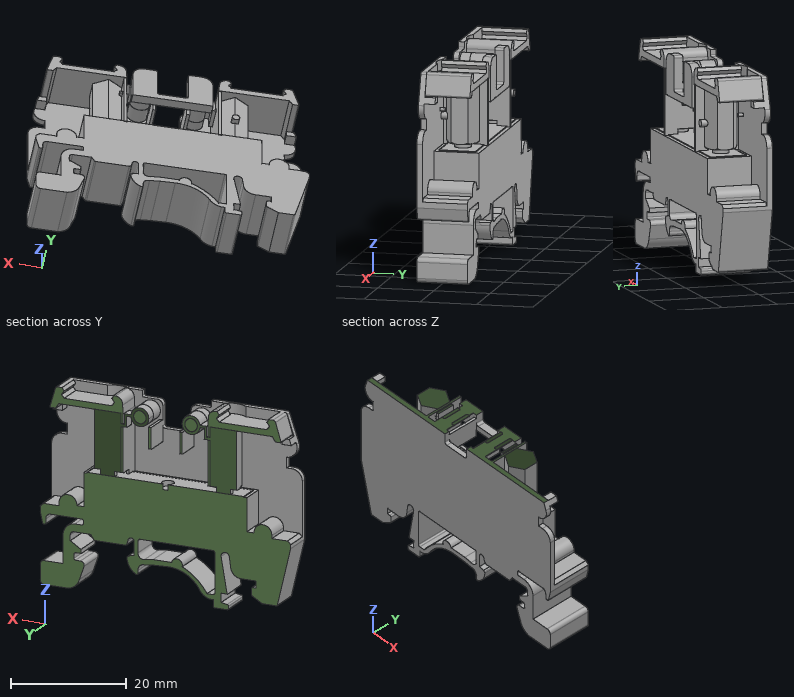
import cadquery as cq
import math

half_length = 24.0
depth = 9.0
height = 36.5
wall = 1.05
mid_y = 5.1

shoulder_fillet = 0.5
shoulder_x = 21.0
ear_radius = 2.0
ear_z = 30.35
notch_top_z = ear_z - ear_radius
notch_bottom_z = 26.4
corner_radius = 2.0
slope_start_z = 13.57
step_x = 6.6
step_z = 35.3
gap_x = 2.7
gap_floor_z = 30.2
gap_fillet = 0.45
gap_shoulder_radius = 1.0
tab_radius = 2.0
tab_x = 5.05
tab_front_y = 7.4
tab_bottom_z = 29.0
tab_corner_radius = 0.4
gap_wall_thickness = 0.55
gap_wall_bottom_z = 27.7
gap_wall_top_z = 31.7

window_left_x = -9.4
window_right_x = 5.2
window_top_z = 10.95
window_radius = 0.3
left_slot_x = -11.43
left_slot_radius = 0.75
right_slot_x = 6.6
right_slot_radius = 0.55
left_slot_z = 10.2
right_slot_z = 10.4
arm_slot_top_z = 13.0
arm_slot_bottom_z = 12.0
arm_slot_end_x = 15.7
arm_top_z = 4.45
arm_fillet = 0.8
arm_outer_x = 19.63
arm_inner_x = 18.17
arm_root_z = 10.45
jaw_x = 17.45
jaw_end_x = 16.15
jaw_top_z = 6.7
jaw_bottom_z = 5.4
hook_inner_x = 22.85
hook_outer_x = 23.5
hook_tip_z = 11.0
bridge_tip = (7.4, 7.4)
belly_left = (7.46, 9.46)
belly_right = (13.7, 9.46)
foot_left_x = -21.4
foot_z = 2.64
foot_tip_x = -16.42
foot_tip_low_z = 3.85
foot_tip_top_z = 5.4
foot_neck_x = -17.3
foot_neck_z = 6.6
leg_tip_x = -12.1
leg_tip_z = 1.55
leg_neck_x = -10.67
leg_bottom_z = 0.55
leg_right_x = -9.1
bridge_start_z = 2.0
window_bottom_z = 3.0
small_fillet = 0.3
clip_corners = (
    (foot_left_x, foot_z),
    (foot_tip_x, foot_tip_low_z),
    (foot_tip_x, foot_tip_top_z),
    (leg_tip_x, leg_tip_z),
    (leg_tip_x, leg_bottom_z),
    (leg_right_x, leg_bottom_z),
    (window_left_x, window_bottom_z),
    bridge_tip,
    belly_left,
    belly_right,
    (jaw_x, jaw_top_z),
    (jaw_x, jaw_bottom_z),
    (arm_slot_end_x, arm_slot_bottom_z),
    (arm_slot_end_x, arm_slot_top_z),
    (hook_inner_x, hook_tip_z),
    (hook_outer_x, hook_tip_z),
)
arm_corners = ((half_length, 0), (half_length, arm_top_z))

floor_z = 21.6
floor_end_x = 15.6
ledge_z = 14.87
ledge_chamfer = 0.6
step_wall_x = 20.4
step_wall_z = 15.4
step_radius = 1.75

hood_bottom_z = 32.5
hood_bottom_x = 22.2
hood_wall = 1.2
hood_bottom_fillet = 0.2
slab_top_z = 34.6
slab_bottom_z = 33.4
outer_lip_tip_x = 19.35
inner_lip_tip_x = 10.3
inner_lip_end_x = 8.05
lip_tip_z = 35.9
lip_bevel = 0.4
lip_undercut = 0.5
lip_draft = 0.1
inner_lip_crown = (-8.5, 36.0)
inner_lip_shoulder_z = 35.0
lip_neck_z = 35.2
stop_x = 22.8
stop_bottom_z = 31.3
stop_top_z = 32.4
stop_end_y = 2.95
scallop_depth = 0.6
scallop_chord = 4.3

partition_end_y = 8.85
partition_gap_y = (3.4, 6.5)
partition_gap_top_z = 22.6
post_x = 4.9
post_z = 33.25
post_diameter = 3.25
post_core_diameter = 2.5
bar_y = (1.75, 8.25)
bar_top_z = 21.75
bar_half_length = 15.0
bar_hole_diameter = 2.2
bar_hole_depth = 1.0
bar_hole_y = 4.6
pin_diameter = 0.6
pin_z = 28.1
pin_end_y = 2.0

hex_x = 11.1
hex_corners = 5.9
hex_flat_radius = hex_corners / 2 * math.cos(math.pi / 6)
hex_bottom_z = 22.6
hex_chamfer = 0.3
shank_diameter = 2.9
strip_y = (2.8, 6.4)
strip_thickness = 0.5
coil_diameter = 3.5
strip_end_x = 7.9
run_top_z = 33.5
strip_low_z = 31.0
stud_diameter = 1.3
stud_z = 27.05


def box(x, y, z):
    """Box between the two ends given for each axis."""
    size = (x[1] - x[0], y[1] - y[0], z[1] - z[0])
    return cq.Workplane("XY").box(*size, centered=False).translate((x[0], y[0], z[0]))


def along_y(profile, y):
    """Extrude an XZ profile between two Y planes."""
    return profile.extrude(-(y[1] - y[0])).translate((0, y[0], 0))


def rod(x, z, diameter, y):
    """Round rod lying along Y."""
    return along_y(cq.Workplane("XZ").center(x, z).circle(diameter / 2), y)


def both_sides(left):
    """The left-hand shape together with its mirror image about X = 0."""
    return left.union(left.mirror("YZ"))


def half_turn(shape):
    """The shape turned half way about the vertical axis at mid depth."""
    return shape.rotate((0, mid_y, 0), (0, mid_y, 1), 180)


def round_edges(body, corners, radius):
    """Fillet the edges along Y that pass through the given (x, z) corners."""
    reach = 0.05
    for x, z in corners:
        zone = cq.selectors.BoxSelector((x - reach, -depth, z - reach), (x + reach, 2 * depth, z + reach))
        body = body.edges("|Y").edges(zone).fillet(radius)
    return body


def draw_upper_left(path):
    """Left edge from the rail foot slope up and along the top to the central gap."""
    reach = height - ear_z
    lean = math.asin(ear_radius / reach)
    diagonal = math.sqrt(0.5)
    return (
        path.lineTo(-half_length, notch_bottom_z - corner_radius)
        .threePointArc(
            (-half_length + corner_radius * (1 - diagonal), notch_bottom_z - corner_radius * (1 - diagonal)),
            (-half_length + corner_radius, notch_bottom_z),
        )
        .lineTo(-shoulder_x, notch_bottom_z)
        .lineTo(-shoulder_x, notch_top_z)
        .threePointArc(
            (-shoulder_x - ear_radius * diagonal, ear_z - ear_radius * diagonal),
            (-shoulder_x - ear_radius * math.cos(lean), ear_z + ear_radius * math.sin(lean)),
        )
        .lineTo(-shoulder_x, height)
        .lineTo(-step_x, height)
        .lineTo(-step_x, step_z)
        .lineTo(-gap_x - gap_shoulder_radius, step_z)
        .threePointArc(
            (-gap_x - gap_shoulder_radius * (1 - diagonal), step_z - gap_shoulder_radius * (1 - diagonal)),
            (-gap_x, step_z - gap_shoulder_radius),
        )
        .lineTo(-gap_x, gap_floor_z)
        .lineTo(0, gap_floor_z)
        .lineTo(0, slope_start_z)
        .close()
    )


def make_outline(y):
    """Full side outline of the housing, extruded between two Y planes."""
    upper = cq.Workplane("XZ").moveTo(-half_length, slope_start_z)
    upper = both_sides(along_y(draw_upper_left(upper), y))
    lower = (
        cq.Workplane("XZ")
        .moveTo(-half_length, slope_start_z)
        .lineTo(foot_left_x, foot_z)
        .lineTo(-18.5, foot_z)
        .lineTo(foot_tip_x, foot_tip_low_z)
        .lineTo(foot_tip_x, foot_tip_top_z)
        .lineTo(foot_neck_x, foot_tip_top_z)
        .lineTo(foot_neck_x, foot_neck_z)
        .lineTo(-14.5, foot_neck_z)
        .threePointArc((-13.05, 7.15), (-12.4, 8.6))
        .lineTo(left_slot_x - left_slot_radius, left_slot_z)
        .threePointArc(
            (left_slot_x, left_slot_z + left_slot_radius), (left_slot_x + left_slot_radius, left_slot_z)
        )
        .lineTo(-11.85, 3.4)
        .lineTo(leg_neck_x, 3.4)
        .lineTo(leg_neck_x, 1.77)
        .lineTo(leg_tip_x, leg_tip_z)
        .lineTo(leg_tip_x, leg_bottom_z)
        .lineTo(leg_right_x, leg_bottom_z)
        .lineTo(leg_right_x, bridge_start_z)
        .lineTo(-8.5, bridge_start_z)
        .threePointArc((-7.3, 2.5), (-6.4, 3.6))
        .threePointArc((-3.8, 5.95), (-0.4, 6.72))
        .lineTo(2.3, 6.6)
        .lineTo(4.1, 6.4)
        .threePointArc((4.9, 6.1), (window_right_x, 5.3))
        .lineTo(window_right_x, 4.8)
        .threePointArc((5.35, 4.5), (5.75, 4.5))
        .threePointArc((6.9, 5.6), bridge_tip)
        .lineTo(7.05, 7.7)
        .lineTo(right_slot_x - right_slot_radius, 7.9)
        .lineTo(right_slot_x - right_slot_radius, right_slot_z)
        .threePointArc(
            (right_slot_x, right_slot_z + right_slot_radius),
            (right_slot_x + right_slot_radius, right_slot_z),
        )
        .lineTo(*belly_left)
        .lineTo(*belly_right)
        .lineTo(14.3, arm_root_z)
        .lineTo(17.6, arm_root_z)
        .threePointArc((18.0, 10.28), (arm_inner_x, 9.85))
        .lineTo(arm_inner_x, 8.8)
        .lineTo(jaw_end_x, 7.5)
        .lineTo(jaw_end_x, jaw_top_z)
        .lineTo(jaw_x, jaw_top_z)
        .lineTo(jaw_x, jaw_bottom_z)
        .lineTo(16.2, jaw_bottom_z)
        .threePointArc((15.65, 5.1), (15.5, 4.55))
        .lineTo(16.4, 2.0)
        .threePointArc((17.2, 0.7), (18.6, 0.0))
        .lineTo(half_length, 0)
        .lineTo(half_length, arm_top_z)
        .lineTo(arm_outer_x, arm_top_z)
        .lineTo(arm_outer_x, 9.7)
        .threePointArc((18.95, 11.3), (17.3, arm_slot_bottom_z))
        .lineTo(arm_slot_end_x, arm_slot_bottom_z)
        .lineTo(arm_slot_end_x, arm_slot_top_z)
        .lineTo(22.0, arm_slot_top_z)
        .threePointArc((22.6, 12.75), (hook_inner_x, 12.1))
        .lineTo(hook_inner_x, hook_tip_z)
        .lineTo(hook_outer_x, hook_tip_z)
        .lineTo(half_length, 13.2)
        .lineTo(half_length, slope_start_z)
        .close()
    )
    window = (
        cq.Workplane("XZ")
        .moveTo(window_left_x, window_top_z)
        .lineTo(window_left_x, window_bottom_z)
        .lineTo(-8.0, window_bottom_z)
        .threePointArc((-6.0, 5.35), (-3.25, 7.2))
        .threePointArc((-2.2, 8.5), (-1.15, 7.7))
        .lineTo(2.3, 7.7)
        .lineTo(3.9, 7.5)
        .threePointArc((4.8, 7.6), (window_right_x, 8.5))
        .lineTo(window_right_x, window_top_z)
        .close()
    )
    window = along_y(window, y).edges("|Y and >Z").fillet(window_radius)
    outline = upper.union(along_y(lower, y)).cut(window).clean()
    outline = round_edges(outline, ((-shoulder_x, height), (shoulder_x, height)), shoulder_fillet)
    outline = round_edges(outline, ((-gap_x, gap_floor_z), (gap_x, gap_floor_z)), gap_fillet)
    outline = round_edges(outline, ((-step_x, step_z), (step_x, step_z)), small_fillet)
    outline = round_edges(outline, clip_corners, small_fillet)
    return round_edges(outline, arm_corners, arm_fillet)


def make_core():
    """Region behind the side wall that is filled: floor, stepped ends and everything below."""
    round_x = step_wall_x - step_radius
    half = (
        cq.Workplane("XZ")
        .lineTo(-half_length, 0)
        .lineTo(-half_length, ledge_z)
        .lineTo(-step_wall_x, ledge_z)
        .lineTo(-step_wall_x, step_wall_z)
        .threePointArc((-round_x, step_wall_z + step_radius), (-round_x + step_radius, step_wall_z))
        .lineTo(-floor_end_x, step_wall_z)
        .lineTo(-floor_end_x, floor_z)
        .lineTo(0, floor_z)
        .close()
    )
    half = along_y(half, (0, depth))
    outer_edge = cq.selectors.NearestToPointSelector((-half_length, depth / 2, ledge_z))
    return both_sides(half.edges(outer_edge).chamfer(ledge_chamfer))


def make_hood():
    """Left hood: sloped end wall, sunken slab between two undercut lips."""
    hood = (
        cq.Workplane("XZ")
        .moveTo(-hood_bottom_x, hood_bottom_z)
        .lineTo(-shoulder_x, height)
        .lineTo(-outer_lip_tip_x - lip_bevel, height)
        .lineTo(-outer_lip_tip_x, lip_tip_z)
        .lineTo(-outer_lip_tip_x - lip_undercut, lip_neck_z)
        .lineTo(-outer_lip_tip_x, slab_top_z)
        .lineTo(-inner_lip_tip_x, slab_top_z)
        .lineTo(-inner_lip_tip_x + lip_undercut, lip_neck_z)
        .lineTo(-inner_lip_tip_x, lip_tip_z)
        .lineTo(-inner_lip_tip_x + lip_bevel, height)
        .lineTo(-inner_lip_tip_x + 2 * lip_bevel, height)
        .threePointArc(inner_lip_crown, (-inner_lip_end_x - lip_draft, inner_lip_shoulder_z))
        .lineTo(-inner_lip_end_x, slab_bottom_z)
        .lineTo(-shoulder_x + hood_wall / 2, slab_bottom_z)
        .lineTo(-hood_bottom_x + hood_wall, hood_bottom_z)
        .close()
    )
    hood = along_y(hood, (wall, depth))
    hood = round_edges(hood, ((-shoulder_x, height),), shoulder_fillet)
    return round_edges(hood, ((-hood_bottom_x, hood_bottom_z),), hood_bottom_fillet)


def make_stop():
    """Small stop on the side wall below the left hood."""
    y = (wall, stop_end_y)
    stop = box((-stop_x, -shoulder_x), y, (stop_bottom_z, stop_top_z))
    return stop.intersect(make_outline(y))


def make_partition():
    """Left partition between wire entry and centre, open for the contact."""
    wall_x = (-hex_x + hex_flat_radius, -inner_lip_end_x)
    partition = box(wall_x, (wall, partition_end_y), (floor_z, slab_bottom_z))
    return partition.cut(box(wall_x, partition_gap_y, (floor_z, partition_gap_top_z)))


def make_gap_wall():
    """Low wall below the left edge of the central gap."""
    return box(
        (-gap_x - gap_wall_thickness, -gap_x), (wall, tab_front_y), (gap_wall_bottom_z, gap_wall_top_z)
    )


def make_tab():
    """Left rear tab with a rounded outer shoulder."""
    tab = (
        cq.Workplane("XZ")
        .moveTo(-gap_x, tab_bottom_z)
        .lineTo(-gap_x, height)
        .lineTo(-tab_x, height)
        .threePointArc(
            (-tab_x - tab_radius * math.sqrt(0.5), height - tab_radius * (1 - math.sqrt(0.5))),
            (-tab_x - tab_radius, height - tab_radius),
        )
        .lineTo(-tab_x - tab_radius, tab_bottom_z)
        .close()
    )
    tab = along_y(tab, (tab_front_y, depth))
    return tab.edges("|Y and >X and >Z").fillet(tab_corner_radius)


def make_bridge():
    """Rear bridge between the tabs, rounded up into both of them."""
    y = (tab_front_y, depth)
    outer_x = gap_x + gap_shoulder_radius
    bridge = box((-outer_x, outer_x), y, (tab_bottom_z, step_z))
    gap = box((-gap_x, gap_x), y, (gap_floor_z, height))
    return bridge.cut(gap.edges("|Y and <Z").fillet(gap_fillet))


def make_scallop():
    """Cutter for the shallow round hollow in the top of the side wall, left side."""
    radius = ((scallop_chord / 2) ** 2 + scallop_depth ** 2) / (2 * scallop_depth)
    centre_y = wall - scallop_depth + radius
    hollow = cq.Workplane("XY").center(-hex_x, centre_y).circle(radius).extrude(height - slab_top_z)
    hollow = hollow.translate((0, 0, slab_top_z))
    return hollow.intersect(box((-half_length, 0), (0, wall), (slab_top_z, height)))


def make_housing():
    """Side wall and filled lower part, the features that stand on them and the current bar."""
    side_wall = make_outline((0, wall)).cut(both_sides(make_scallop()))
    housing = side_wall.union(make_outline((0, depth)).intersect(make_core()))
    for left_feature in (make_hood(), make_stop(), make_partition(), make_gap_wall(), make_tab()):
        housing = housing.union(both_sides(left_feature))
    housing = housing.union(make_bridge())
    housing = housing.union(both_sides(rod(-post_x, post_z, post_diameter, (wall, depth))))
    housing = housing.union(both_sides(rod(-hex_x, pin_z, pin_diameter, (wall, pin_end_y))))
    bar = box((-bar_half_length, bar_half_length), bar_y, (floor_z, bar_top_z))
    housing = housing.union(bar)
    post_root = rod(-post_x, post_z, coil_diameter, (wall, strip_y[0]))
    far_root = rod(post_x, post_z, coil_diameter, (wall, 2 * mid_y - strip_y[1]))
    housing = housing.union(post_root).union(far_root)
    post_neck = rod(-post_x, post_z, coil_diameter, strip_y).cut(
        rod(-post_x, post_z, post_core_diameter, strip_y)
    )
    strip_window = box(
        (-hex_x + hex_flat_radius, -inner_lip_end_x),
        strip_y,
        (strip_low_z, strip_low_z + strip_thickness),
    )
    for left_cut in (post_neck, strip_window):
        housing = housing.cut(left_cut).cut(half_turn(left_cut))
    bar_hole = cq.Workplane("XY", origin=(0, bar_hole_y, bar_top_z)).circle(bar_hole_diameter / 2)
    return housing.cut(bar_hole.extrude(-bar_hole_depth))


def make_contact():
    """Left contact: hexagonal clamp with shank and stud, and a spring strip coiled around the post."""
    clamp = cq.Workplane("XY", origin=(-hex_x, mid_y, hex_bottom_z)).polygon(6, hex_corners)
    clamp = clamp.extrude(slab_bottom_z - hex_bottom_z).rotate(
        (-hex_x, mid_y, 0), (-hex_x, mid_y, 1), 90
    )
    envelope = cq.Workplane("XY", origin=(-hex_x, mid_y, hex_bottom_z)).circle(hex_corners / 2)
    envelope = envelope.extrude(slab_bottom_z - hex_bottom_z).faces("<Z").chamfer(hex_chamfer)
    clamp = clamp.intersect(envelope)
    shank = cq.Workplane("XY", origin=(-hex_x, mid_y, bar_top_z)).circle(shank_diameter / 2)
    shank = shank.extrude(hex_bottom_z - bar_top_z)
    stud = rod(-hex_x, stud_z, stud_diameter, (mid_y, partition_end_y))

    coil = rod(-post_x, post_z, coil_diameter, strip_y)
    run = box((-strip_end_x, -post_x), strip_y, (run_top_z - strip_thickness, run_top_z))
    leg = box((-strip_end_x, -strip_end_x + strip_thickness), strip_y, (strip_low_z, run_top_z))
    foot = box(
        (-hex_x + hex_flat_radius - strip_thickness, -strip_end_x + strip_thickness),
        strip_y,
        (strip_low_z, strip_low_z + strip_thickness),
    )
    contact = clamp.union(shank).union(stud).union(coil).union(run).union(leg).union(foot)
    return contact.cut(rod(-post_x, post_z, post_core_diameter, strip_y))


left_contact = make_contact()
right_contact = half_turn(left_contact)
housing = make_housing()
result = cq.Compound.makeCompound([housing.val(), left_contact.val(), right_contact.val()])